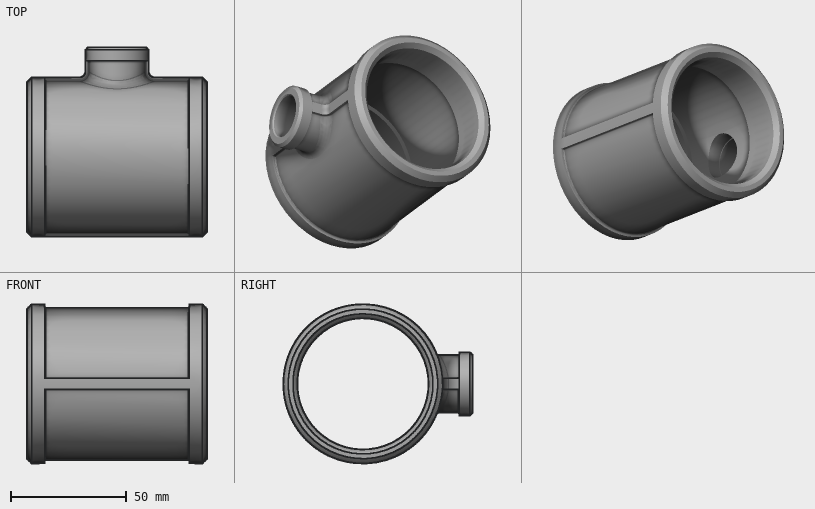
import cadquery as cq

run_length = 78.0
run_radius = 69.0 / 2
run_bore_radius = 56.7 / 2
run_relief_radius = 60.6 / 2
run_socket_depth = 18.2
run_end_chamfer = 2.1
run_band_width = 7.7

overall_width = 82
branch_tip = overall_width - run_radius
branch_radius = 27.5 / 2
branch_bore_radius = 18.6 / 2
branch_relief_radius = 19.6 / 2
branch_socket_depth = 11.3
branch_end_chamfer = 1.2
branch_collar_width = 5.8

run_recess = 1.5
branch_recess = 1.2
rib_width = 4.75
rib_blend_radius = 2.5
wall_blend_radius = 3.9
step_fillet = 0.5

touch_tolerance = 0.001


def run_cylinder(radius, length):
    """Cylinder along X, centred on the origin."""
    return cq.Workplane("YZ", origin=(-length / 2, 0, 0)).circle(radius).extrude(length)


def branch_cylinder(radius, start, end):
    """Cylinder along +Y between two distances from the run axis."""
    return cq.Workplane("XZ", origin=(0, start, 0)).circle(radius).extrude(start - end)


def blend_junction(shape, outer_radius, blend_radius):
    """Round the inside corner where the branch leaves the run, whose outer radius is given."""
    margin = 0.8
    reach = branch_radius + margin
    junction = cq.selectors.BoxSelector(
        (-reach, run_bore_radius, -reach),
        (reach, outer_radius + margin, reach),
    )
    return shape.edges(junction).fillet(blend_radius)


def make_core():
    """Plain tee at the depth of the recessed walls."""
    radius = run_radius - run_recess
    core = run_cylinder(radius, run_length)
    core = core.union(branch_cylinder(branch_radius - branch_recess, 0, branch_tip))
    return blend_junction(core, radius, wall_blend_radius)


def make_ribs():
    """Ribs along both sides of the run, with flat ribs rising up both sides of the branch."""
    slab = cq.Workplane("XY").box(run_length, 2 * run_radius, rib_width)
    run_ribs = run_cylinder(run_radius, run_length).intersect(slab)
    collar_foot = branch_tip - branch_collar_width
    branch_ribs = cq.Workplane("XY", origin=(0, collar_foot / 2, 0))
    branch_ribs = branch_ribs.box(2 * branch_radius, collar_foot, rib_width)
    return blend_junction(run_ribs.union(branch_ribs), run_radius, rib_blend_radius)


def make_raised():
    """Everything that stands proud of the core: ribs, end bands and branch collar."""
    between_bands = run_cylinder(run_radius, run_length - 2 * run_band_width)
    bands = run_cylinder(run_radius, run_length).cut(between_bands)
    collar = branch_cylinder(branch_radius, branch_tip - branch_collar_width, branch_tip)
    return make_ribs().union(bands).union(collar)


def make_solid_tee():
    """Core and raised surfaces joined, with a small fillet at the foot of every step."""
    core = make_core()
    raised = make_raised()
    tee = core.union(raised)
    step_feet = []
    for edge in tee.edges().vals():
        middle = cq.Vertex.makeVertex(*edge.positionAt(0.5).toTuple())
        on_core = core.val().distance(middle) < touch_tolerance
        on_raised = raised.val().distance(middle) < touch_tolerance
        if on_core and on_raised:
            step_feet.append(edge)
    return tee.newObject(step_feet).fillet(step_fillet)


result = make_solid_tee()

result = result.faces("<X or >X").edges().chamfer(run_end_chamfer)
result = result.faces(">Y").edges().chamfer(branch_end_chamfer)

result = result.cut(run_cylinder(run_bore_radius, run_length))
result = result.cut(run_cylinder(run_relief_radius, run_length - 2 * run_socket_depth))
result = result.cut(branch_cylinder(branch_bore_radius, 0, branch_tip))
result = result.cut(branch_cylinder(branch_relief_radius, 0, branch_tip - branch_socket_depth))

smallest = cq.selectors.RadiusNthSelector(0)
result = result.faces("<X or >X").edges(smallest).chamfer(run_relief_radius - run_bore_radius)
result = result.faces(">Y").edges(smallest).chamfer(branch_relief_radius - branch_bore_radius)